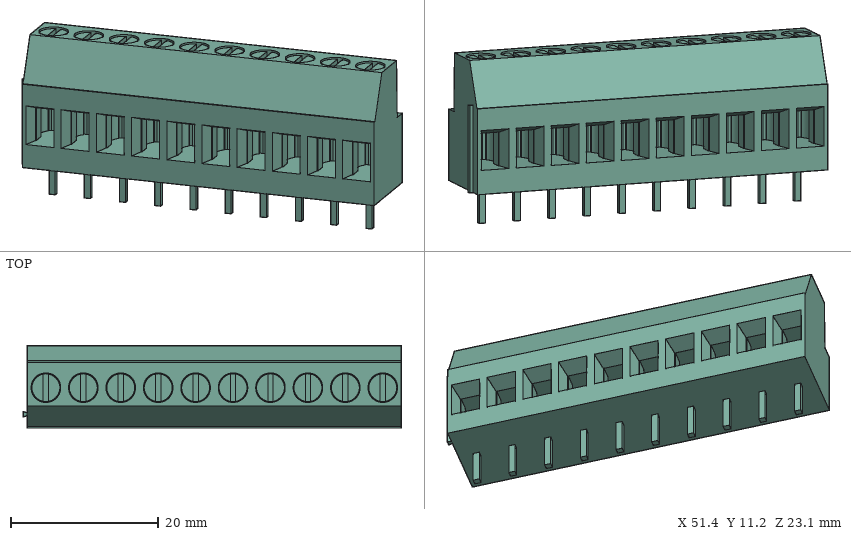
import cadquery as cq

POLE_COUNT = 10
TOTAL_LENGTH = 51.35
RIB_PROJECTION = 0.55
BODY_LENGTH = TOTAL_LENGTH - RIB_PROJECTION
PITCH = BODY_LENGTH / POLE_COUNT

BODY_DEPTH = 11.2
BODY_HEIGHT = 18.05
FRONT_WALL_HEIGHT = 11.85
FRONT_LEDGE = 0.25
TOP_FRONT_Y = 3.05
TOP_BACK_Y = 8.95
STEP_Y = 9.2
STEP_HEIGHT = 9.85

RIB_CENTRE_Y = 1.9
RIB_WIDTH = 0.75
RIB_NECK_WIDTH = 0.4
RIB_HEIGHT = 12.05

ENTRY_WIDTH = 4.0
ENTRY_FLOOR = 3.35
ENTRY_TOP = 8.85
FUNNEL_END_WIDTH = 2.8
PASSAGE_WIDTH = 2.6
PASSAGE_TOP = 8.0
FUNNEL_DEPTH = 2.2

SCREW_Y = 5.5
SCREW_DIAMETER = 3.8
SCREW_HOLE_DIAMETER = 4.0
SCREW_SINK = 0.2
GAP_DEPTH = 1.55
SLOT_WIDTH = 0.7
SLOT_DEPTH = 1.05
REAR_ARC_WIDTH = 1.8

PIN_WIDTH = 0.85
PIN_THICKNESS = 0.75
PIN_LENGTH = 5.0
PIN_Y = 5.25


def box(width, depth, height, x, y, z):
    """Box centred on x, starting at y and z."""
    return cq.Workplane("XY").box(width, depth, height, centered=(True, False, False)).translate((x, y, z))


def cylinder(diameter, height, x, y, z):
    """Upright cylinder standing on z."""
    return cq.Workplane("XY").circle(diameter / 2).extrude(height).translate((x, y, z))


def make_housing():
    outline = [
        (0, 0),
        (BODY_DEPTH, 0),
        (BODY_DEPTH, STEP_HEIGHT),
        (STEP_Y, STEP_HEIGHT),
        (TOP_BACK_Y, BODY_HEIGHT),
        (TOP_FRONT_Y, BODY_HEIGHT),
        (FRONT_LEDGE, FRONT_WALL_HEIGHT),
        (0, FRONT_WALL_HEIGHT),
    ]
    return cq.Workplane("YZ").polyline(outline).close().extrude(BODY_LENGTH)


def make_rib():
    outline = [
        (0, RIB_CENTRE_Y - RIB_NECK_WIDTH / 2),
        (-RIB_PROJECTION, RIB_CENTRE_Y - RIB_WIDTH / 2),
        (-RIB_PROJECTION, RIB_CENTRE_Y + RIB_WIDTH / 2),
        (0, RIB_CENTRE_Y + RIB_NECK_WIDTH / 2),
    ]
    return cq.Workplane("XY").polyline(outline).close().extrude(RIB_HEIGHT)


def make_wire_entry(x):
    """Space cut from the front face for one wire."""
    entry_height = ENTRY_TOP - ENTRY_FLOOR
    passage_height = PASSAGE_TOP - ENTRY_FLOOR
    funnel = (
        cq.Workplane("XZ")
        .center(x, ENTRY_FLOOR + entry_height / 2)
        .rect(ENTRY_WIDTH, entry_height)
        .workplane(offset=-FUNNEL_DEPTH)
        .center(0, (passage_height - entry_height) / 2)
        .rect(FUNNEL_END_WIDTH, passage_height)
        .loft(ruled=True)
    )
    radius = SCREW_DIAMETER / 2
    passage_end = SCREW_Y + (radius**2 - (REAR_ARC_WIDTH / 2) ** 2) ** 0.5
    passage = box(PASSAGE_WIDTH, passage_end - FUNNEL_DEPTH, passage_height, x, FUNNEL_DEPTH, ENTRY_FLOOR)
    recess = cylinder(SCREW_DIAMETER, passage_height, x, SCREW_Y, ENTRY_FLOOR)
    return funnel.union(passage).union(recess)


def make_screw_cut(x):
    """Space around and above one screw head, with its driver slot."""
    head_top = BODY_HEIGHT - SCREW_SINK
    gap_floor = head_top - GAP_DEPTH
    hole = cylinder(SCREW_HOLE_DIAMETER, BODY_HEIGHT - gap_floor, x, SCREW_Y, gap_floor)
    head = cylinder(SCREW_DIAMETER, GAP_DEPTH, x, SCREW_Y, gap_floor)
    slot = box(SLOT_WIDTH, SCREW_DIAMETER, SLOT_DEPTH, x, SCREW_Y - SCREW_DIAMETER / 2, head_top - SLOT_DEPTH)
    return hole.cut(head.cut(slot))


def make_pin(x):
    return box(PIN_WIDTH, PIN_THICKNESS, PIN_LENGTH, x, PIN_Y - PIN_THICKNESS / 2, -PIN_LENGTH)


result = make_housing().union(make_rib())
for pole in range(POLE_COUNT):
    pole_x = (pole + 0.5) * PITCH
    result = result.cut(make_wire_entry(pole_x))
    result = result.cut(make_screw_cut(pole_x))
    result = result.union(make_pin(pole_x))